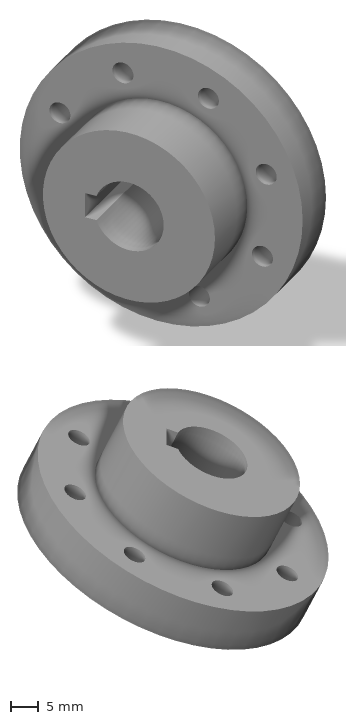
import cadquery as cq

flange_diameter = 57
total_length = 22.0
flange_thickness = 9.25
hub_diameter = 34.65
hub_length = total_length - flange_thickness

bore_diameter = 14.0
keyway_width = 5.0
keyway_depth_from_axis = 8.85

hole_diameter = 4.2
hole_circle_radius = 22.5
hole_count = 8
first_hole_angle = 20


def cylinder_along_y(diameter, start_y, length):
    """Solid cylinder on the Y axis, from start_y towards +Y."""
    plane = cq.Workplane("XZ", origin=(0, start_y, 0))
    return plane.circle(diameter / 2).extrude(-length)


def make_body():
    flange = cylinder_along_y(flange_diameter, 0, flange_thickness)
    hub = cylinder_along_y(hub_diameter, -hub_length, hub_length)
    return flange.union(hub)


def make_keyed_bore():
    bore = cylinder_along_y(bore_diameter, -hub_length, total_length)
    keyway = (
        cq.Workplane("XZ", origin=(0, -hub_length, 0))
        .center(-keyway_depth_from_axis / 2, 0)
        .rect(keyway_depth_from_axis, keyway_width)
        .extrude(-total_length)
    )
    return bore.union(keyway)


def make_flange_holes():
    return (
        cq.Workplane("XZ")
        .polarArray(hole_circle_radius, first_hole_angle, 360, hole_count)
        .circle(hole_diameter / 2)
        .extrude(-flange_thickness)
    )


result = make_body().cut(make_keyed_bore()).cut(make_flange_holes())